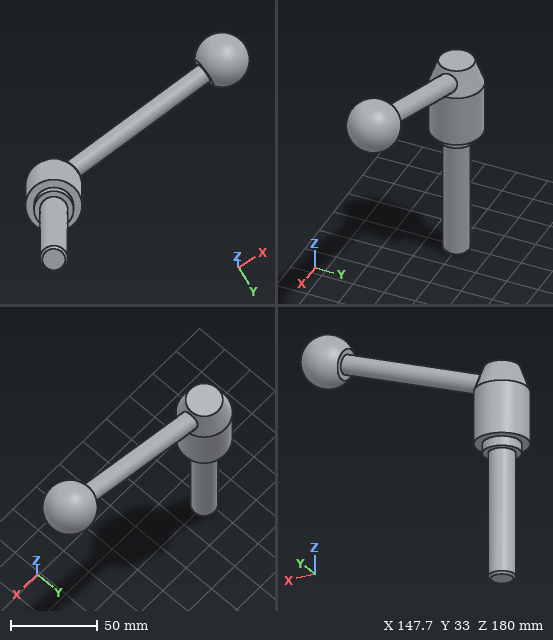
import cadquery as cq
import math

stud_diameter = 16.2
stud_chamfer = 1.5
collar_diameter = 23.0
collar_bottom = 80.0
hub_diameter = 33.0
hub_bottom = 86.0
cone_bottom = 119.5
hub_top_diameter = 21.6
hub_top = 135.0

overall_height = 180.0
ball_radius = 16.0
ball_x = 115.2
ball_z = overall_height - ball_radius
ball_flat_radius = 9.4
arm_diameter = 12.0
arm_angle = 20.0


def make_body():
    """Revolve the stud, collar and tapered hub as one profile."""
    stud_radius = stud_diameter / 2
    collar_radius = collar_diameter / 2
    hub_radius = hub_diameter / 2
    return (
        cq.Workplane("XZ")
        .moveTo(0, 0)
        .lineTo(stud_radius - stud_chamfer, 0)
        .lineTo(stud_radius, stud_chamfer)
        .lineTo(stud_radius, collar_bottom)
        .lineTo(collar_radius, collar_bottom)
        .lineTo(collar_radius, hub_bottom)
        .lineTo(hub_radius, hub_bottom)
        .lineTo(hub_radius, cone_bottom)
        .lineTo(hub_top_diameter / 2, hub_top)
        .lineTo(0, hub_top)
        .close()
        .revolve(360, (0, 0), (0, 1))
    )


def make_arm_and_ball():
    """Build the arm from the hub axis to a ball with a flat facing the hub."""
    angle = math.radians(arm_angle)
    direction = cq.Vector(math.cos(angle), 0, math.sin(angle))
    center = cq.Vector(ball_x, 0, ball_z)
    arm_length = ball_x / math.cos(angle)
    flat_distance = math.sqrt(ball_radius**2 - ball_flat_radius**2)

    arm_plane = cq.Plane(origin=center, xDir=(0, 1, 0), normal=direction)
    ball = (
        cq.Workplane("XZ")
        .moveTo(0, -flat_distance)
        .lineTo(ball_flat_radius, -flat_distance)
        .threePointArc((ball_radius, 0), (0, ball_radius))
        .close()
        .revolve(360, (0, 0), (0, 1))
    )
    placed_ball = cq.Workplane(obj=ball.val().moved(cq.Location(arm_plane)))
    arm = cq.Workplane(arm_plane).circle(arm_diameter / 2).extrude(-arm_length)
    return arm.union(placed_ball)


result = make_body().union(make_arm_and_ball())